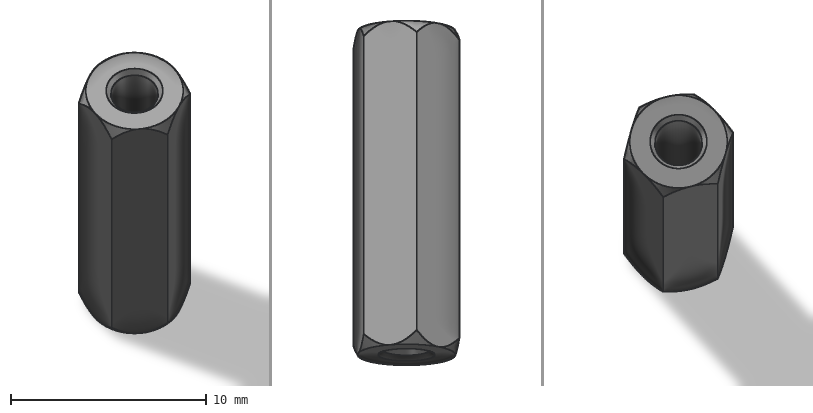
import cadquery as cq
import math

length = 17.0
across_flats = 5.0
across_corners = across_flats / math.cos(math.radians(30))
bore_diameter = 2.41
countersink_diameter = 2.9
countersink_angle = 90.0
corner_chamfer_angle = 60.0

countersink_depth = (countersink_diameter - bore_diameter) / 2 / math.tan(math.radians(countersink_angle / 2))
corner_overhang = (across_corners - across_flats) / 2
corner_chamfer_height = corner_overhang * math.tan(math.radians(corner_chamfer_angle))


def hexagonal_bar():
    """Bar with two flats facing X and two corners pointing along Y."""
    return (
        cq.Workplane("XY")
        .polygon(6, across_corners)
        .extrude(length)
        .rotate((0, 0, 0), (0, 0, 1), 30)
        .translate((0, 0, -length / 2))
    )


def corner_chamfer_envelope():
    """Round bar with conical ends; its end faces just touch the flats."""
    return (
        cq.Workplane("XY")
        .workplane(offset=-length / 2)
        .circle(across_corners / 2)
        .extrude(length)
        .faces("<Z or >Z")
        .chamfer(corner_chamfer_height, corner_overhang)
    )


def countersunk_bore():
    """Solid of revolution removed for the bore and both countersinks."""
    half_length = length / 2
    bore_radius = bore_diameter / 2
    countersink_radius = countersink_diameter / 2
    straight_end = half_length - countersink_depth
    return (
        cq.Workplane("XZ")
        .moveTo(0, -half_length)
        .lineTo(countersink_radius, -half_length)
        .lineTo(bore_radius, -straight_end)
        .lineTo(bore_radius, straight_end)
        .lineTo(countersink_radius, half_length)
        .lineTo(0, half_length)
        .close()
        .revolve(360, (0, 0, 0), (0, 1, 0))
    )


result = hexagonal_bar().intersect(corner_chamfer_envelope()).cut(countersunk_bore())